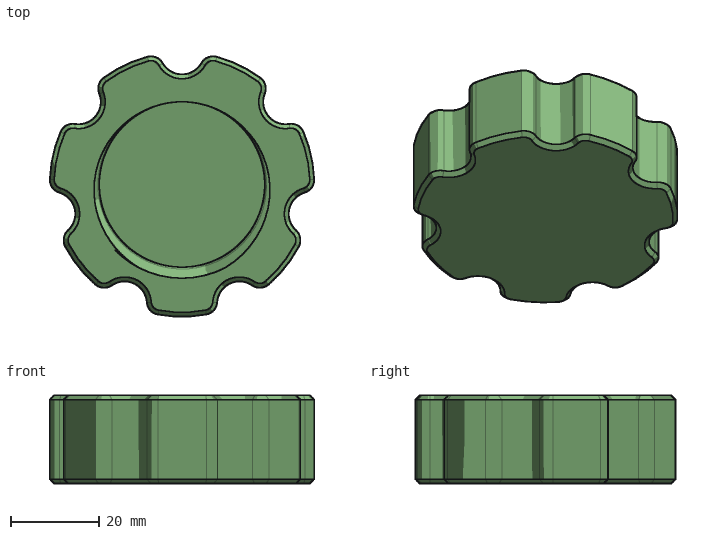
import cadquery as cq
import math

outer_diameter = 60.0
height = 20.0
edge_chamfer = 1.0

notch_count = 7
notch_radius = 5.05
lip_radius = 3.05
first_notch_direction = 90.0

floor_thickness = 3.0
crest_diameter = 37.5
root_diameter = 42.5
pitch = 4.5
flank_angle = 30.0
crest_radius = 0.8
crest_direction = 90.0
thread_embed = 0.2
spare_turns = 2

outer_radius = outer_diameter / 2
crest_reach = crest_diameter / 2
root_reach = root_diameter / 2
notch_step = 360.0 / notch_count


def polar(radius, degrees):
    """Point in the XY plane at a distance and direction from the axis."""
    angle = math.radians(degrees)
    return (radius * math.cos(angle), radius * math.sin(angle))


def toward(start, end, distance):
    """Point at a distance from start on the way to end."""
    span = math.dist(start, end)
    return tuple(s + (e - s) * distance / span for s, e in zip(start, end))


def make_body():
    """Solid knob with notches centred on the rim and rounded lips beside them."""
    lip_reach = outer_radius - lip_radius
    lip_cosine = (outer_radius**2 + lip_reach**2 - (notch_radius + lip_radius) ** 2) / (
        2 * outer_radius * lip_reach
    )
    lip_offset = math.degrees(math.acos(lip_cosine))

    outline = cq.Workplane("XY").moveTo(*polar(outer_radius, first_notch_direction - lip_offset))
    for index in range(notch_count):
        notch_direction = first_notch_direction + index * notch_step
        notch_centre = polar(outer_radius, notch_direction)
        lip_centres = [polar(lip_reach, notch_direction + side * lip_offset) for side in (-1, 1)]
        lip_to_notch = [toward(centre, notch_centre, lip_radius) for centre in lip_centres]
        lip_middles = []
        for side, centre, end in zip((-1, 1), lip_centres, lip_to_notch):
            start = polar(outer_radius, notch_direction + side * lip_offset)
            chord_middle = ((start[0] + end[0]) / 2, (start[1] + end[1]) / 2)
            lip_middles.append(toward(centre, chord_middle, lip_radius))

        outline = (
            outline.threePointArc(lip_middles[0], lip_to_notch[0])
            .threePointArc(polar(outer_radius - notch_radius, notch_direction), lip_to_notch[1])
            .threePointArc(lip_middles[1], polar(outer_radius, notch_direction + lip_offset))
            .threePointArc(
                polar(outer_radius, notch_direction + notch_step / 2),
                polar(outer_radius, notch_direction + notch_step - lip_offset),
            )
        )
    body = outline.close().extrude(height)
    return body.faces("|Z").chamfer(edge_chamfer)


def make_bore():
    """Blind bore at the thread root diameter, open at the top."""
    return (
        cq.Workplane("XY")
        .workplane(offset=floor_thickness)
        .circle(root_reach)
        .extrude(height - floor_thickness)
    )


def make_thread():
    """Right-handed helical ridge with straight flanks and a rounded crest."""
    flank = math.radians(flank_angle)
    tangent_reach = crest_reach + crest_radius * (1 - math.sin(flank))
    tangent_half = crest_radius * math.cos(flank)
    base_reach = root_reach + thread_embed
    base_half = tangent_half + (base_reach - tangent_reach) * math.tan(flank)

    turns = math.ceil((height - floor_thickness) / pitch) + spare_turns
    start_height = height - (turns - spare_turns / 2) * pitch
    profile = (
        cq.Workplane("XZ")
        .moveTo(base_reach, -base_half)
        .lineTo(tangent_reach, -tangent_half)
        .threePointArc((crest_reach, 0), (tangent_reach, tangent_half))
        .lineTo(base_reach, base_half)
        .close()
    )
    helix = cq.Wire.makeHelix(pitch, turns * pitch, crest_reach)
    ridge = profile.sweep(cq.Workplane(obj=helix), isFrenet=True)
    ridge = ridge.rotate((0, 0, 0), (0, 0, 1), crest_direction).translate((0, 0, start_height))
    envelope = cq.Workplane("XY").circle(outer_radius - notch_radius).extrude(height)
    return ridge.intersect(envelope)


result = make_body().cut(make_bore()).union(make_thread())